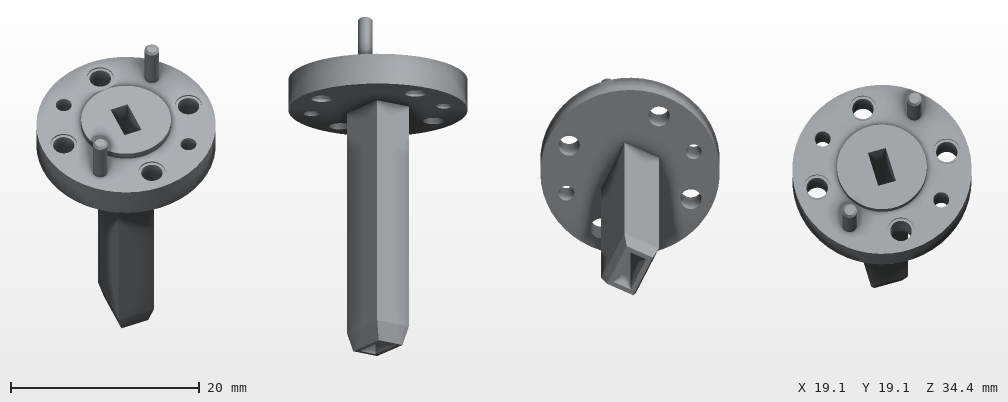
import cadquery as cq
import math

total_height = 34.42
pin_height = 4.68
flange_thickness = 3.3
boss_height = 0.8
stem_length = total_height - pin_height - flange_thickness
tip_length = 2.03

flange_diameter = 19.05
boss_diameter = 9.55
screw_hole_diameter = 2.27
screw_rim_diameter = 2.85
pin_diameter = 1.55
pin_hole_diameter = 1.7

pitch_radius = 7.15
pin_chamfer = 0.25
rim_depth = 0.17

stem_width = 5.7
stem_depth = 4.05
tip_width = 4.82
tip_depth = 3.05
guide_width = 3.85
guide_depth = 1.95


def pitch_points(angles):
    """Points on the pitch circle at the given angles in degrees."""
    return [
        (pitch_radius * math.cos(math.radians(a)), pitch_radius * math.sin(math.radians(a)))
        for a in angles
    ]


def make_flange():
    """Round flange with its raised boss, counterbored screw holes and pin clearance holes."""
    flange = cq.Workplane("XY").circle(flange_diameter / 2).extrude(-flange_thickness)
    flange = (
        flange.faces(">Z").workplane()
        .pushPoints(pitch_points([0, 90, 180, 270]))
        .cboreHole(screw_hole_diameter, screw_rim_diameter, rim_depth)
    )
    flange = (
        flange.faces(">Z").workplane()
        .pushPoints(pitch_points([45, 225]))
        .hole(pin_hole_diameter)
    )
    boss = cq.Workplane("XY").circle(boss_diameter / 2).extrude(boss_height)
    return flange.union(boss)


def make_pins():
    """Two chamfered dowel pins, running through the flange."""
    return (
        cq.Workplane("XY", origin=(0, 0, -flange_thickness))
        .pushPoints(pitch_points([135, 315]))
        .circle(pin_diameter / 2)
        .extrude(flange_thickness + pin_height)
        .faces(">Z").chamfer(pin_chamfer)
    )


def make_stem():
    """Rectangular stem ending in a tapered tip."""
    straight_length = stem_length - tip_length
    straight = (
        cq.Workplane("XY", origin=(0, 0, -flange_thickness))
        .rect(stem_width, stem_depth)
        .extrude(-straight_length)
    )
    tip = (
        straight.faces("<Z").workplane(origin=(0, 0, 0))
        .rect(stem_width, stem_depth)
        .workplane(offset=tip_length)
        .rect(tip_width, tip_depth)
        .loft(combine=False)
    )
    return straight.union(tip)


def make_guide():
    """Rectangular waveguide opening through the full length of the part."""
    return (
        cq.Workplane("XY", origin=(0, 0, boss_height))
        .rect(guide_width, guide_depth)
        .extrude(-(boss_height + flange_thickness + stem_length))
    )


result = make_flange().union(make_pins()).union(make_stem()).cut(make_guide())